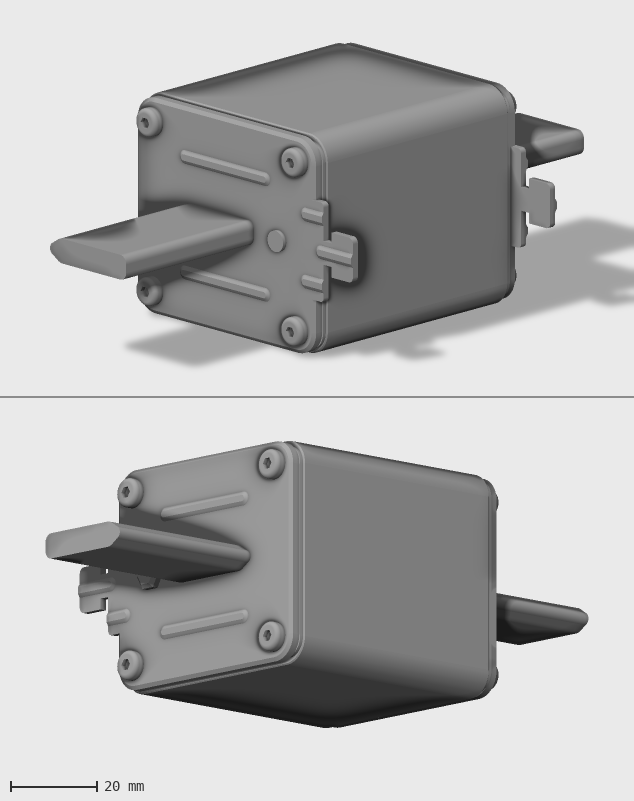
import cadquery as cq
import math

body_width = 60.0
body_height = 53.0
body_length = 59.4
body_corner_radius = 6.0
body_edge_chamfer = 0.3

gasket_width = 59.2
gasket_height = 50.1
gasket_corner_radius = 4.5

cover_width = 58.6
cover_height = 52.0
cover_corner_radius = 5.8
cover_bevel_width = 0.9
cover_bevel_depth = 0.6
cover_inner_y = 30.6
cover_outer_y = 33.2

tab_thickness = 1.6
tab_root_x = 27.0
tab_shoulder_x = 32.4
tab_neck_end_x = 35.0
tab_end_x = 42.0
tab_shoulder_half_height = 12.0
tab_neck_half_height = 2.8
tab_head_half_height = 5.4
tab_shoulder_radius = 1.0
tab_head_radius = 1.4

rib_width = 3.3
rib_height = 0.6
rib_top_width = 1.5
long_rib_start_x = -14.8
long_rib_end_x = 14.8
long_rib_z = 14.0
shoulder_rib_start_x = 24.9
shoulder_rib_z = 8.1
head_rib_start_x = 29.8

blade_end_y = 75.0
blade_half_thickness = 3.0
blade_tip_x = -15.6
blade_tip_arc_x = -14.5
blade_tip_arc_half_height = 1.5
blade_facet_end_x = -13.2
blade_facet_end_half_height = 2.4
blade_flat_start_x = -11.4
blade_back_x = 9.5
blade_back_radius = 2.0

screw_x = 23.8
screw_z = 20.4
screw_head_radius = 3.5
screw_head_top_y = 35.7
screw_edge_radius = 1.0
socket_across_corners = 2.8
socket_depth = 1.2
socket_tip_radius = 0.9
socket_tip_depth = 0.5

indicator_x = 17.5
disc_radius = 2.5
disc_top_y = 34.2
button_across_corners = 7.0
button_top_y = 35.5
button_edge_chamfer = 0.9


def xz_plane(y):
    """Sketch plane at the given Y, drawn in X and Z; solids are extruded from it toward -Y."""
    return cq.Workplane("XZ", origin=(0, y, 0))


def rounded_block(width, height, y_start, y_end, corner_radius):
    """Block between two Y positions with its four long edges rounded."""
    block = xz_plane(y_end).rect(width, height).extrude(y_end - y_start)
    return block.edges("|Y").fillet(corner_radius)


def make_body():
    body = rounded_block(body_width, body_height, -body_length / 2, body_length / 2, body_corner_radius)
    return body.faces("<Y or >Y").edges().chamfer(body_edge_chamfer)


def make_gasket():
    return rounded_block(gasket_width, gasket_height, -cover_inner_y, cover_inner_y, gasket_corner_radius)


def make_cover():
    cover = rounded_block(cover_width, cover_height, cover_inner_y, cover_outer_y, cover_corner_radius)
    return cover.faces(">Y").chamfer(cover_bevel_depth, cover_bevel_width)


def make_tab():
    """Stepped grip plate with a narrow neck and a wider head."""
    upper = [
        (tab_root_x, tab_shoulder_half_height),
        (tab_shoulder_x, tab_shoulder_half_height),
        (tab_shoulder_x, tab_neck_half_height),
        (tab_neck_end_x, tab_neck_half_height),
        (tab_neck_end_x, tab_head_half_height),
        (tab_end_x, tab_head_half_height),
    ]
    lower = [(x, -z) for x, z in reversed(upper)]
    tab = xz_plane(cover_outer_y).polyline(upper + lower).close().extrude(tab_thickness)
    rounded_corners = [
        (tab_shoulder_x, tab_shoulder_half_height, tab_shoulder_radius),
        (tab_end_x, tab_head_half_height, tab_head_radius),
    ]
    middle_y = cover_outer_y - tab_thickness / 2
    for x, z, radius in rounded_corners:
        for side in (-1, 1):
            corner = cq.selectors.NearestToPointSelector((x, middle_y, side * z))
            tab = tab.edges("|Y").edges(corner).fillet(radius)
    return tab


def make_rib(start_x, end_x, z):
    """Round-ended rib with sloping flanks."""
    flank_angle = math.degrees(math.atan2((rib_width - rib_top_width) / 2, rib_height))
    middle_x = (start_x + end_x) / 2
    outward_plane = cq.Plane(origin=(middle_x, cover_outer_y, z), xDir=(1, 0, 0), normal=(0, 1, 0))
    rib = cq.Workplane(outward_plane).slot2D(end_x - start_x, rib_width)
    return rib.extrude(rib_height, taper=flank_angle)


def make_open_rib(start_x, end_x, z):
    """Rib that runs out at the tab edge, so its end is cut square there."""
    rib = make_rib(start_x, end_x + rib_width, z)
    inside_tab = cq.Workplane().box(2 * end_x, 2 * blade_end_y, body_height)
    return rib.intersect(inside_tab)


def make_blade():
    """Flat bar with a tapered, rounded -X edge and a rounded +X edge."""
    top = blade_half_thickness
    blend_run = blade_flat_start_x - blade_facet_end_x
    blend_drop = top - blade_facet_end_half_height
    blend_radius = (blend_run**2 + blend_drop**2) / (2 * blend_drop)
    blade = (
        xz_plane(blade_end_y)
        .moveTo(blade_back_x, top)
        .lineTo(blade_flat_start_x, top)
        .radiusArc((blade_facet_end_x, blade_facet_end_half_height), -blend_radius)
        .lineTo(blade_tip_arc_x, blade_tip_arc_half_height)
        .threePointArc((blade_tip_x, 0), (blade_tip_arc_x, -blade_tip_arc_half_height))
        .lineTo(blade_facet_end_x, -blade_facet_end_half_height)
        .radiusArc((blade_flat_start_x, -top), -blend_radius)
        .lineTo(blade_back_x, -top)
        .close()
        .extrude(blade_end_y)
    )
    return blade.edges("|Y and >X").fillet(blade_back_radius)


def make_screw(x, z):
    """Round screw head with a rounded rim and a hexagonal socket."""
    height = screw_head_top_y - cover_inner_y
    head = xz_plane(screw_head_top_y).center(x, z).circle(screw_head_radius).extrude(height)
    head = head.faces(">Y").edges().fillet(screw_edge_radius)
    socket = xz_plane(screw_head_top_y).center(x, z).polygon(6, socket_across_corners).extrude(socket_depth)
    tip = cq.Solid.makeCone(
        socket_tip_radius,
        0,
        socket_tip_depth,
        pnt=cq.Vector(x, screw_head_top_y - socket_depth, z),
        dir=cq.Vector(0, -1, 0),
    )
    return head.cut(socket).cut(cq.Workplane(tip))


def make_end():
    """Cover, tab, ribs, screws and blade of the +Y end."""
    end = make_cover().union(make_tab()).union(make_blade())
    for side in (-1, 1):
        end = end.union(make_rib(long_rib_start_x, long_rib_end_x, side * long_rib_z))
        end = end.union(make_open_rib(shoulder_rib_start_x, tab_shoulder_x, side * shoulder_rib_z))
        for x in (-screw_x, screw_x):
            end = end.union(make_screw(x, side * screw_z))
    return end.union(make_open_rib(head_rib_start_x, tab_end_x, 0))


def make_disc():
    disc = xz_plane(-cover_inner_y).center(indicator_x, 0).circle(disc_radius)
    return disc.extrude(disc_top_y - cover_inner_y)


def make_button():
    """Hexagonal head with one pair of flats facing up and down."""
    button = xz_plane(button_top_y).center(indicator_x, 0).polygon(6, button_across_corners)
    return button.extrude(button_top_y - cover_inner_y).faces(">Y").edges().chamfer(button_edge_chamfer)


back_end = make_end()
front_end = back_end.mirror("XZ")
result = make_body().union(make_gasket()).union(back_end).union(front_end)
result = result.union(make_disc()).union(make_button())